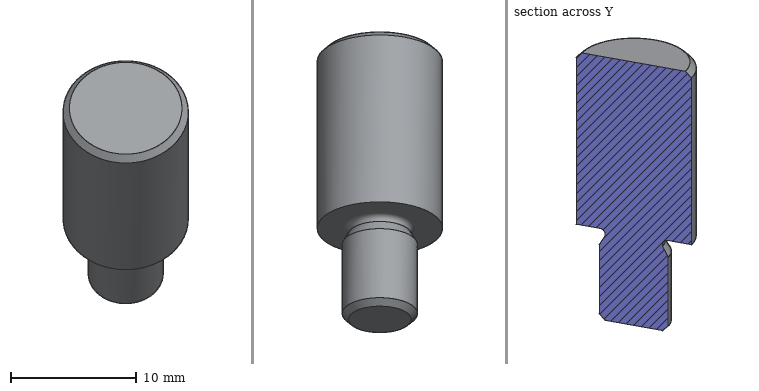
import cadquery as cq
import math

total_length = 23.2
head_diameter = 10.0
stud_diameter = 6.0
stud_length = 8.0
edge_chamfer = 0.5

neck_diameter = 5.0
neck_length = 0.16
neck_fillet = 0.4
cone_angle = math.radians(30)

head_radius = head_diameter / 2
stud_radius = stud_diameter / 2
neck_radius = neck_diameter / 2

fillet_start = stud_length - neck_fillet
cone_end = fillet_start - neck_length
cone_start = cone_end - (stud_radius - neck_radius) / math.tan(cone_angle)

fillet_inset = neck_fillet * math.cos(math.pi / 4)
fillet_middle = (
    neck_radius + neck_fillet - fillet_inset,
    fillet_start + fillet_inset,
)

half_section = (
    cq.Workplane("XZ")
    .lineTo(stud_radius - edge_chamfer, 0)
    .lineTo(stud_radius, edge_chamfer)
    .lineTo(stud_radius, cone_start)
    .lineTo(neck_radius, cone_end)
    .lineTo(neck_radius, fillet_start)
    .threePointArc(fillet_middle, (neck_radius + neck_fillet, stud_length))
    .lineTo(head_radius, stud_length)
    .lineTo(head_radius, total_length - edge_chamfer)
    .lineTo(head_radius - edge_chamfer, total_length)
    .lineTo(0, total_length)
    .close()
)
result = half_section.revolve(360, (0, 0, 0), (0, 1, 0))